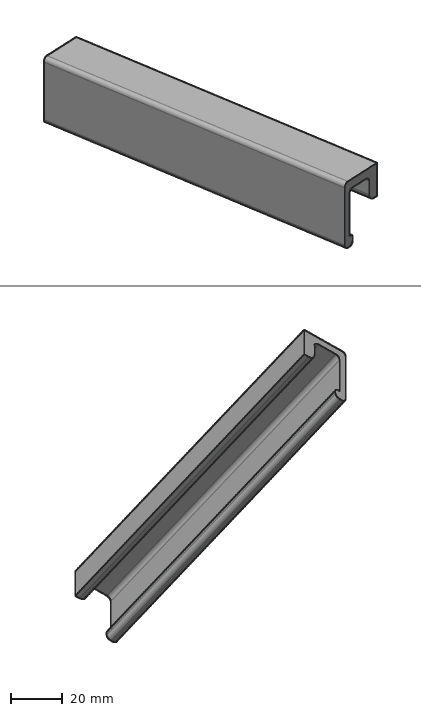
import cadquery as cq

length = 150.0
width = 20.0
height = 30.0

top_thickness = 4.0
long_leg_thickness = 3.0
short_leg_thickness = 5.0
short_leg_height = 15.0
bead_width = 5.0
bead_height = 5.0

outer_radius = 2.0
inner_radius = 2.0
short_leg_tip_radius = 3.0
bead_radius = 2.1
bead_shoulder_radius = 1.5

front = -width / 2
back = width / 2
bottom = -height / 2
top = height / 2
long_leg_inside = front + long_leg_thickness
short_leg_inside = back - short_leg_thickness
underside = top - top_thickness
short_leg_tip = top - short_leg_height
bead_back = front + bead_width
bead_top = bottom + bead_height

section = (
    cq.Workplane("YZ", origin=(-length / 2, 0, 0))
    .moveTo(front, bottom)
    .lineTo(front, top)
    .lineTo(back, top)
    .lineTo(back, short_leg_tip)
    .lineTo(short_leg_inside, short_leg_tip)
    .lineTo(short_leg_inside, underside)
    .lineTo(long_leg_inside, underside)
    .lineTo(long_leg_inside, bead_top)
    .lineTo(bead_back, bead_top)
    .lineTo(bead_back, bottom)
    .close()
)
profile = section.extrude(length)


def round_long_edge(body, y, z, radius):
    """Round the lengthwise edge passing through (y, z)."""
    edge = cq.selectors.NearestToPointSelector((0, y, z))
    return body.edges("|X").edges(edge).fillet(radius)


rounded_edges = [
    (front, top, outer_radius),
    (short_leg_inside, short_leg_tip, short_leg_tip_radius),
    (short_leg_inside, underside, inner_radius),
    (long_leg_inside, underside, inner_radius),
    (front, bottom, bead_radius),
    (bead_back, bottom, bead_radius),
    (bead_back, bead_top, bead_shoulder_radius),
]

result = profile
for edge_y, edge_z, edge_radius in rounded_edges:
    result = round_long_edge(result, edge_y, edge_z, edge_radius)